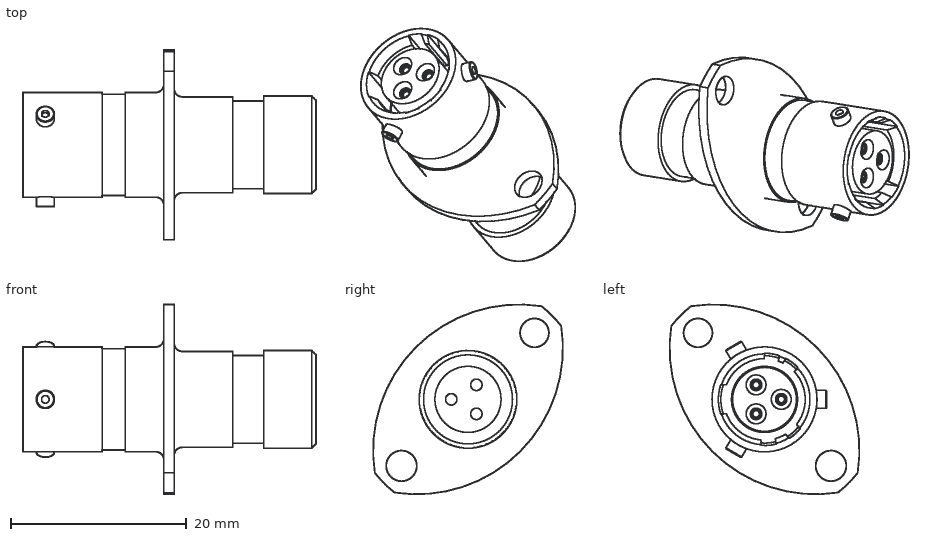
import cadquery as cq
import math


total_length = 33.31
barrel_radius = 5.97
barrel_groove_radius = 5.77
neck_radius = 5.47
rear_groove_radius = 5.0
rear_collar_radius = 5.56
barrel_groove_start = 9.0
barrel_groove_end = 11.6
flange_start = 16.0
flange_thickness = 1.2
flange_end = flange_start + flange_thickness
flange_fillet = 0.9
rear_groove_start = 23.85
rear_groove_end = 27.35
rear_chamfer = 0.5

flange_half_extent = 10.8
flange_arc_offset = 5.82
flange_arc_radius = flange_half_extent + flange_arc_offset
flange_tip_radius = 13.5
mount_hole_offset = 7.56
upper_mount_hole_diameter = 3.25
lower_mount_hole_diameter = 3.45

mouth_radius = 5.17
bore_radius = 4.63
mouth_taper_length = 1.15
bore_depth = 6.0
keyway_radius = 5.25
main_keyway_width = 3.3
side_keyway_width = 1.65
side_keyway_angles = (99.6, 127.0, 228.4, 264.8)

lug_angles = (60, 180, 300)
lug_station = 2.54
lug_radius = 1.03
lug_top = 7.05
lug_chamfer = 0.08
lug_hole_radius = 0.43
lug_hole_depth = 0.5

insert_boss_radius = 3.63
insert_stem_radius = 3.76
insert_face = 0.54
insert_collar_length = 0.5
insert_flange_length = 2.0
insert_flange_chamfer = keyway_radius - 4.97

contact_angles = (60, 180, 300)
contact_circle_radius = 1.905
contact_radius = 0.65
countersink_radius = 1.13
countersink_depth = 0.6
contact_recess = 0.2
contact_face = insert_face + countersink_depth + contact_recess
socket_radius = 0.38
socket_mouth_radius = 0.52
socket_depth = 3.0
drill_half_angle = 59

mouth_x = -total_length / 2


def revolve_profile(points):
    """Solid of revolution about X from (station, radius) points."""
    placed = [(mouth_x + station, radius) for station, radius in points]
    return cq.Workplane("XY").polyline(placed).close().revolve(360, (0, 0, 0), (1, 0, 0))


def cross_section(station):
    """Workplane across the axis: local x is Y, local y is Z, extrusions go toward +X."""
    return cq.Workplane("YZ", origin=(mouth_x + station, 0, 0))


def on_circle(radius, angle):
    return (radius * math.cos(math.radians(angle)), radius * math.sin(math.radians(angle)))


def make_shell_turning():
    """Turned outside of the shell with concave fillets against both flange faces."""
    front_root = barrel_radius + flange_fillet
    rear_root = neck_radius + flange_fillet
    quarter = flange_fillet * math.sin(math.radians(45))
    chamfer_start = total_length - rear_chamfer
    front_fillet_mid = (flange_start - flange_fillet + quarter, front_root - quarter)
    rear_fillet_mid = (flange_end + flange_fillet - quarter, rear_root - quarter)

    def at(station, radius):
        return (mouth_x + station, radius)

    return (
        cq.Workplane("XY")
        .moveTo(*at(0, 0))
        .lineTo(*at(0, barrel_radius))
        .lineTo(*at(barrel_groove_start, barrel_radius))
        .lineTo(*at(barrel_groove_start, barrel_groove_radius))
        .lineTo(*at(barrel_groove_end, barrel_groove_radius))
        .lineTo(*at(barrel_groove_end, barrel_radius))
        .lineTo(*at(flange_start - flange_fillet, barrel_radius))
        .threePointArc(at(*front_fillet_mid), at(flange_start, front_root))
        .lineTo(*at(flange_end, front_root))
        .lineTo(*at(flange_end, rear_root))
        .threePointArc(at(*rear_fillet_mid), at(flange_end + flange_fillet, neck_radius))
        .lineTo(*at(rear_groove_start, neck_radius))
        .lineTo(*at(rear_groove_start, rear_groove_radius))
        .lineTo(*at(rear_groove_end, rear_groove_radius))
        .lineTo(*at(rear_groove_end, rear_collar_radius))
        .lineTo(*at(chamfer_start, rear_collar_radius))
        .lineTo(*at(total_length, rear_collar_radius - rear_chamfer))
        .lineTo(*at(total_length, 0))
        .close()
        .revolve(360, (0, 0, 0), (1, 0, 0))
    )


def make_flange():
    """Overlap of two large discs and a central disc, with a mounting hole at each tip."""

    def disc(y, z, radius):
        return cross_section(flange_start).center(y, z).circle(radius).extrude(flange_thickness)

    flange = disc(flange_arc_offset, -flange_arc_offset, flange_arc_radius)
    flange = flange.intersect(disc(-flange_arc_offset, flange_arc_offset, flange_arc_radius))
    flange = flange.intersect(disc(0, 0, flange_tip_radius))
    flange = flange.cut(disc(mount_hole_offset, mount_hole_offset, upper_mount_hole_diameter / 2))
    return flange.cut(disc(-mount_hole_offset, -mount_hole_offset, lower_mount_hole_diameter / 2))


def make_lug(angle):
    """Bayonet lug standing radially on the barrel, rooted halfway into the mouth wall."""
    root = (mouth_radius + barrel_radius) / 2
    lug = (
        cq.Workplane("XY", origin=(mouth_x + lug_station, 0, root))
        .circle(lug_radius)
        .extrude(lug_top - root)
        .faces(">Z")
        .chamfer(lug_chamfer)
        .faces(">Z")
        .workplane()
        .hole(2 * lug_hole_radius, lug_hole_depth)
    )
    return lug.rotate((0, 0, 0), (1, 0, 0), angle - 90)


def make_keyway(angle, width):
    """Lengthwise slot from the mouth to the bore floor, bottomed on the keyway radius."""
    slot = (
        cross_section(0)
        .center(keyway_radius / 2, 0)
        .rect(keyway_radius, width)
        .extrude(bore_depth)
        .rotate((0, 0, 0), (1, 0, 0), angle)
    )
    return slot.intersect(cross_section(0).circle(keyway_radius).extrude(bore_depth))


def make_insert_blank():
    """Front boss with a root collar, chamfered locating flange and rear stem, undrilled."""
    flange_back = bore_depth + insert_flange_length
    return revolve_profile([
        (insert_face, 0),
        (insert_face, insert_boss_radius),
        (bore_depth - insert_collar_length, insert_boss_radius),
        (bore_depth - insert_collar_length, insert_stem_radius),
        (bore_depth, insert_stem_radius),
        (bore_depth, keyway_radius - insert_flange_chamfer),
        (bore_depth + insert_flange_chamfer, keyway_radius),
        (flange_back, keyway_radius),
        (flange_back, insert_stem_radius),
        (total_length, insert_stem_radius),
        (total_length, 0),
    ])


def make_shell_cavity():
    """Tapered mouth, key bore, insert flange recess and rear stem bore."""
    flange_back = bore_depth + insert_flange_length
    return revolve_profile([
        (0, 0),
        (0, mouth_radius),
        (mouth_taper_length, bore_radius),
        (bore_depth, bore_radius),
        (bore_depth, keyway_radius),
        (flange_back, keyway_radius),
        (flange_back, insert_stem_radius),
        (total_length, insert_stem_radius),
        (total_length, 0),
    ])


def make_shell():
    shell = make_shell_turning().union(make_flange())
    for angle in lug_angles:
        shell = shell.union(make_lug(angle))
    shell = shell.cut(make_shell_cavity())
    shell = shell.cut(make_keyway(0, main_keyway_width))
    for angle in side_keyway_angles:
        shell = shell.cut(make_keyway(angle, side_keyway_width))
    return shell


def make_insert():
    insert = make_insert_blank()
    countersink_end = insert_face + countersink_depth
    contact_hole = revolve_profile([
        (insert_face, 0),
        (insert_face, countersink_radius),
        (countersink_end, contact_radius),
        (total_length, contact_radius),
        (total_length, 0),
    ])
    for angle in contact_angles:
        insert = insert.cut(contact_hole.translate((0, *on_circle(contact_circle_radius, angle))))
    return insert


def make_contact(angle):
    """Socket contact: chamfered mouth and a drilled hole with a conical end."""
    mouth_chamfer = socket_mouth_radius - socket_radius
    drill_end = contact_face + socket_depth
    drill_tip = drill_end + socket_radius / math.tan(math.radians(drill_half_angle))
    contact = revolve_profile([
        (drill_tip, 0),
        (drill_end, socket_radius),
        (contact_face + mouth_chamfer, socket_radius),
        (contact_face, socket_mouth_radius),
        (contact_face, contact_radius),
        (total_length, contact_radius),
        (total_length, 0),
    ])
    return contact.translate((0, *on_circle(contact_circle_radius, angle)))


shell = make_shell()
insert = make_insert()
contacts = [make_contact(angle) for angle in contact_angles]

result = cq.Compound.makeCompound([
    shell.val(),
    insert.val(),
    *[contact.val() for contact in contacts],
])